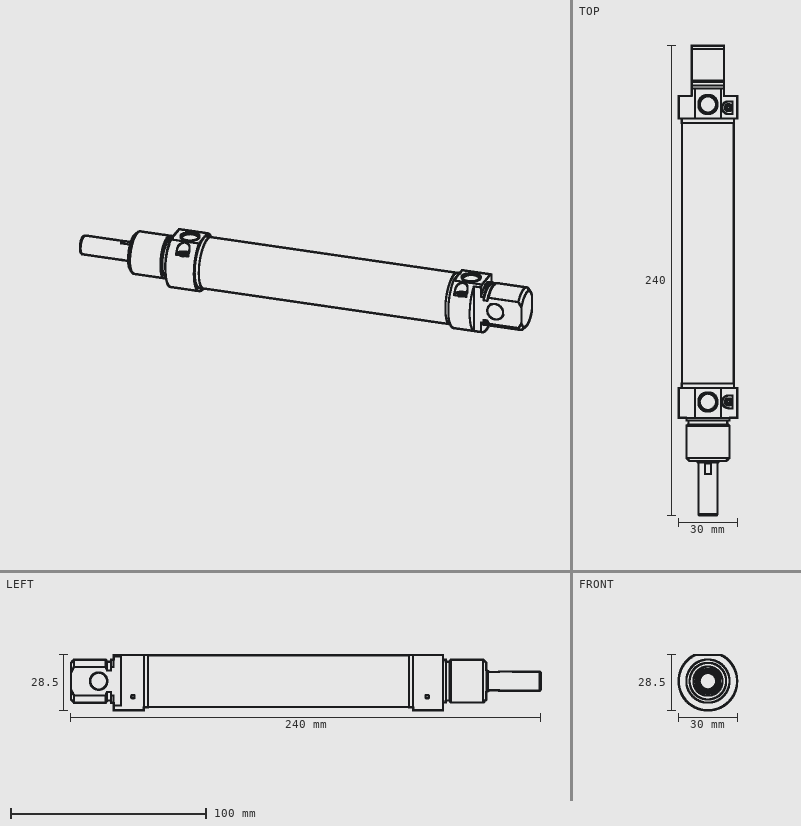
import cadquery as cq


OVERALL_LENGTH = 240.0

BARREL_DIAMETER = 26.6
COLLAR_DIAMETER = 27.0
COLLAR_LENGTH = 2.2
CAP_DIAMETER = 30.0
CAP_LENGTH = 15.4
FLAT_HEIGHT = 13.5
FRONT_CAP_Y = 50.0
REAR_CAP_Y = 218.2

NECK_DIAMETER = 22.0
GROOVE_DIAMETER = 20.0
SHOULDER_LENGTH = 1.5
GROOVE_LENGTH = 2.6
THREAD_LEAD_IN = 0.7
NECK_CHAMFER = 1.7
FRONT_NECK_Y = 27.8

PORT_DIAMETER = 8.5
PORT_MOUTH_DIAMETER = 9.8
PORT_CORE_DIAMETER = 15.8
FRONT_PORT_Y = 58.0
REAR_PORT_Y = 210.0

FRONT_SCREW_Y = 58.0
REAR_SCREW_Y = 208.3
SCREW_X = 10.5
SCREW_DIAMETER = 3.5
SCREW_CHAMFER = 0.5
SCREW_LENGTH = 4.8
SOCKET_DIAMETER = 1.8
SOCKET_DEPTH = 1.2
POCKET_WIDTH = 6.5
POCKET_FLOOR_Z = 8.2

SIDE_HOLE_DIAMETER = 1.8
SIDE_HOLE_Z = -8.0
SIDE_HOLE_BOTTOM_X = -11.0

TONGUE_THICKNESS = 16.5
TONGUE_START_Y = 214.3
PIVOT_HOLE_DIAMETER = 8.6
PIVOT_HOLE_Y = 225.8

ROD_DIAMETER = 9.8
ROD_CHAMFER = 0.7
ROD_ACROSS_FLATS = 9.4
ROD_FLAT_START_Y = 21.4
ROD_FLAT_END_Y = 26.6
RECESS_DIAMETER = 15.0
RECESS_DEPTH = 0.7
WIPER_RING_DIAMETER = 12.5
LIP_ROOT_DIAMETER = 11.0
LIP_TIP_DIAMETER = 10.3
LIP_PROTRUSION = 0.7

CAP_RADIUS = CAP_DIAMETER / 2
FRONT_BARREL_Y = FRONT_CAP_Y + CAP_LENGTH + COLLAR_LENGTH
REAR_BARREL_Y = REAR_CAP_Y - CAP_LENGTH - COLLAR_LENGTH


def rod_along_y(diameter, start, end):
    """Round bar on the cylinder axis between two Y positions."""
    return cq.Workplane("XZ", origin=(0, start, 0)).circle(diameter / 2).extrude(start - end)


def revolve_about_y(profile):
    """Solid of revolution on the cylinder axis from (radius, Y) points."""
    return cq.Workplane("XY").polyline(profile).close().revolve(360, (0, 0, 0), (0, 1, 0))


def box_between(x_range, y_range, z_range):
    """Box spanning the given (low, high) ranges."""
    spans = (x_range, y_range, z_range)
    size = [high - low for low, high in spans]
    middle = [(high + low) / 2 for low, high in spans]
    return cq.Workplane("XY").box(*size).translate(tuple(middle))


def neck(cap_face, end, direction):
    """Threaded neck from a cap face to its chamfered end; direction is the sign of Y outwards."""
    groove_start = cap_face + direction * SHOULDER_LENGTH
    groove_end = groove_start + direction * GROOVE_LENGTH
    neck_radius = NECK_DIAMETER / 2
    groove_radius = GROOVE_DIAMETER / 2
    profile = [
        (0, cap_face),
        (neck_radius, cap_face),
        (neck_radius, groove_start),
        (groove_radius, groove_start),
        (groove_radius, groove_end - direction * THREAD_LEAD_IN),
        (neck_radius, groove_end),
        (neck_radius, end - direction * NECK_CHAMFER),
        (neck_radius - NECK_CHAMFER, end),
        (0, end),
    ]
    return revolve_about_y(profile)


def cap_body(start, collar_end):
    """Cap ring with its flat top, plus the thinner collar that meets the barrel."""
    end = start + CAP_LENGTH if collar_end > start else start - CAP_LENGTH
    ring = rod_along_y(CAP_DIAMETER, start, end)
    above_flat = box_between(
        (-CAP_RADIUS, CAP_RADIUS), (min(start, end), max(start, end)), (FLAT_HEIGHT, CAP_RADIUS)
    )
    return ring.cut(above_flat).union(rod_along_y(COLLAR_DIAMETER, end, collar_end))


def port(y):
    """Air port drilled down from the flat, chamfered at its mouth, ending on the round core."""
    core_radius = PORT_CORE_DIAMETER / 2
    top = cq.Workplane("XY", origin=(0, y, FLAT_HEIGHT))
    drill = top.circle(PORT_DIAMETER / 2).extrude(-FLAT_HEIGHT)
    core = rod_along_y(PORT_CORE_DIAMETER, y - core_radius, y + core_radius)
    mouth_depth = (PORT_MOUTH_DIAMETER - PORT_DIAMETER) / 2
    mouth = top.circle(PORT_MOUTH_DIAMETER / 2).extrude(-mouth_depth, taper=45)
    return drill.cut(core).union(mouth)


def screw_pocket(y):
    """Flat-bottomed slot with a round inner end, open towards +X, and the screw hole in its floor."""
    half_width = POCKET_WIDTH / 2
    floor = cq.Workplane("XY", origin=(SCREW_X, y, POCKET_FLOOR_Z))
    round_end = floor.circle(half_width).extrude(CAP_RADIUS)
    open_end = box_between(
        (SCREW_X, CAP_RADIUS), (y - half_width, y + half_width), (POCKET_FLOOR_Z, CAP_RADIUS)
    )
    hole = floor.circle(SCREW_DIAMETER / 2).extrude(-SCREW_LENGTH)
    return round_end.union(open_end).union(hole)


def side_hole(y):
    """Small blind hole entering the cap from the -X side."""
    return (
        cq.Workplane("YZ", origin=(SIDE_HOLE_BOTTOM_X, y, SIDE_HOLE_Z))
        .circle(SIDE_HOLE_DIAMETER / 2)
        .extrude(-CAP_RADIUS)
    )


def make_cushion_screw(y):
    """Headless screw flush with its pocket floor, with a round driving socket."""
    top = cq.Workplane("XY", origin=(SCREW_X, y, POCKET_FLOOR_Z))
    socket = top.circle(SOCKET_DIAMETER / 2).extrude(-SOCKET_DEPTH)
    shank = top.circle(SCREW_DIAMETER / 2).extrude(-SCREW_LENGTH)
    return shank.faces(">Z").chamfer(SCREW_CHAMFER).cut(socket)


def make_piston_rod():
    """Rod from its chamfered tip to the front of the barrel, with two wrench flats by the neck."""
    rod = rod_along_y(ROD_DIAMETER, 0, FRONT_BARREL_Y).faces("<Y").chamfer(ROD_CHAMFER)
    half_flats = ROD_ACROSS_FLATS / 2
    flat_range = (ROD_FLAT_START_Y, ROD_FLAT_END_Y)
    for low, high in ((half_flats, ROD_DIAMETER), (-ROD_DIAMETER, -half_flats)):
        rod = rod.cut(box_between((-ROD_DIAMETER, ROD_DIAMETER), flat_range, (low, high)))
    return rod


def wiper_recess():
    """Ring-shaped recess in the front face of the neck, around the flush wiper ring."""
    floor = FRONT_NECK_Y + RECESS_DEPTH
    wiper_ring = rod_along_y(WIPER_RING_DIAMETER, FRONT_NECK_Y, floor)
    return rod_along_y(RECESS_DIAMETER, FRONT_NECK_Y, floor).cut(wiper_ring)


def wiper_lip():
    """Tapered lip around the rod that stands ahead of the neck face."""
    tip = FRONT_NECK_Y - LIP_PROTRUSION
    profile = [
        (0, FRONT_NECK_Y),
        (LIP_ROOT_DIAMETER / 2, FRONT_NECK_Y),
        (LIP_TIP_DIAMETER / 2, tip),
        (0, tip),
    ]
    return revolve_about_y(profile)


def make_front_cap():
    cap = cap_body(FRONT_CAP_Y, FRONT_BARREL_Y).union(neck(FRONT_CAP_Y, FRONT_NECK_Y, -1))
    cap = cap.cut(wiper_recess()).union(wiper_lip())
    cap = cap.cut(port(FRONT_PORT_Y)).cut(screw_pocket(FRONT_SCREW_Y)).cut(side_hole(FRONT_SCREW_Y))
    rod_bore = rod_along_y(ROD_DIAMETER, 0, FRONT_BARREL_Y)
    return cap.cut(rod_bore)


def make_rear_cap():
    cap = cap_body(REAR_CAP_Y, REAR_BARREL_Y).union(neck(REAR_CAP_Y, OVERALL_LENGTH, 1))
    half_tongue = TONGUE_THICKNESS / 2
    for low, high in ((half_tongue, CAP_RADIUS), (-CAP_RADIUS, -half_tongue)):
        cap = cap.cut(
            box_between((low, high), (TONGUE_START_Y, OVERALL_LENGTH), (-CAP_RADIUS, CAP_RADIUS))
        )
    pivot_hole = (
        cq.Workplane("YZ", origin=(0, PIVOT_HOLE_Y, 0))
        .circle(PIVOT_HOLE_DIAMETER / 2)
        .extrude(CAP_RADIUS, both=True)
    )
    cap = cap.cut(pivot_hole)
    return cap.cut(port(REAR_PORT_Y)).cut(screw_pocket(REAR_SCREW_Y)).cut(side_hole(REAR_SCREW_Y))


def make_barrel():
    return rod_along_y(BARREL_DIAMETER, FRONT_BARREL_Y, REAR_BARREL_Y)


front_cap = make_front_cap()
rear_cap = make_rear_cap()
barrel = make_barrel()
piston_rod = make_piston_rod()
cushion_screws = [make_cushion_screw(y) for y in (FRONT_SCREW_Y, REAR_SCREW_Y)]

result = cq.Compound.makeCompound(
    [front_cap.val(), rear_cap.val(), barrel.val(), piston_rod.val()]
    + [screw.val() for screw in cushion_screws]
)